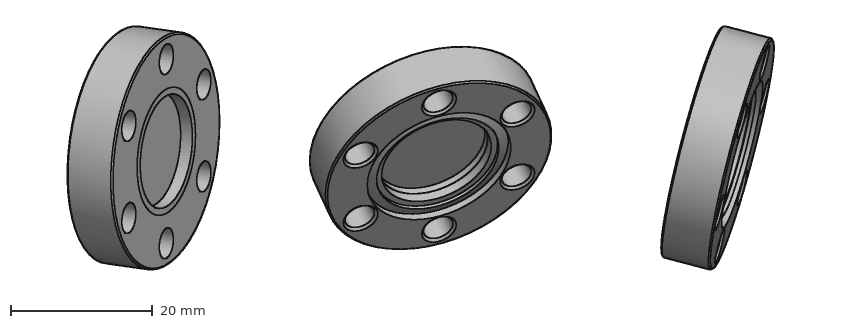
import cadquery as cq

outer_radius = 16.9
thickness = 7.23
rim_chamfer = 0.25
front = -thickness / 2
back = thickness / 2

recess_radius = 10.7
recess_depth = 1.1
knife_radius = 9.12
knife_tip_depth = 0.55

bore_radius = 8.15
mouth_radius = 8.17
mouth_depth = 0.37

bolt_count = 6
bolt_circle_radius = 13.5
bolt_radius = 2.2
bolt_chamfer = 0.37

sleeve_depth = 2.6
sleeve_radius = 9.12
sleeve_chamfer_length = 0.35
sleeve_mouth_radius = 8.17

window_depth = 3.68
window_thickness = 1.7


def revolve_about_x(points):
    """Revolve a closed outline of (x, radius) points about the X axis."""
    return cq.Workplane("XY").polyline(points).close().revolve(360, (0, 0, 0), (1, 0, 0))


def bolt_hole_cutter():
    """Through hole on the axis, with a countersunk front edge."""
    return revolve_about_x([
        (front, 0),
        (front, bolt_radius + bolt_chamfer),
        (front + bolt_chamfer, bolt_radius),
        (back, bolt_radius),
        (back, 0),
    ])


def make_flange():
    floor = front + recess_depth
    seat = front + sleeve_depth
    flange = revolve_about_x([
        (front, recess_radius),
        (front, outer_radius - rim_chamfer),
        (front + rim_chamfer, outer_radius),
        (back - rim_chamfer, outer_radius),
        (back, outer_radius - rim_chamfer),
        (back, sleeve_radius),
        (seat, sleeve_radius),
        (seat, bore_radius),
        (floor + mouth_depth, bore_radius),
        (floor, mouth_radius),
        (floor, knife_radius),
        (front + knife_tip_depth, knife_radius),
        (floor, recess_radius),
    ])
    for index in range(bolt_count):
        angle = index * 360 / bolt_count
        cutter = bolt_hole_cutter().translate((0, 0, bolt_circle_radius))
        flange = flange.cut(cutter.rotate((0, 0, 0), (1, 0, 0), angle))
    return flange


def make_sleeve():
    seat = front + sleeve_depth
    return revolve_about_x([
        (seat, sleeve_mouth_radius),
        (seat, sleeve_radius),
        (back, sleeve_radius),
        (back, bore_radius),
        (seat + sleeve_chamfer_length, bore_radius),
    ])


def make_window():
    window_front = front + window_depth
    return cq.Workplane("YZ", origin=(window_front, 0, 0)).circle(bore_radius).extrude(window_thickness)


flange = make_flange()
sleeve = make_sleeve()
window = make_window()

result = cq.Compound.makeCompound([flange.val(), sleeve.val(), window.val()])